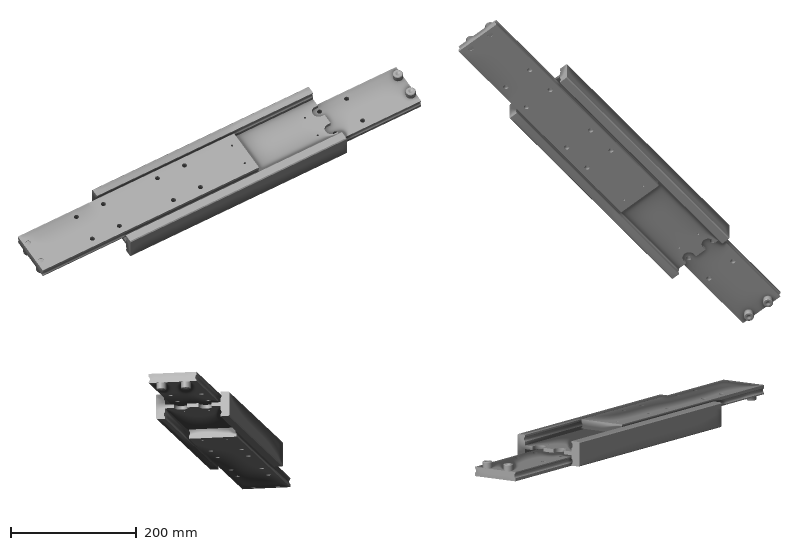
import cadquery as cq
rail_length = 400.0
slide_travel = 150.0
rail_width = 120.0
rail_height = 40.0
overall_height = 44.0
edge_chamfer = 1.5
web_thickness = 6.0
flange_thickness = 15.0

slide_width = 78.0
slide_thickness = 15.0

ball_track_height = 13.0
ball_track_radius = 5.0

mount_hole_diameter = 8.0
mount_hole_x = 25.0
mount_hole_y = [-100.0, -50.0, 50.0, 100.0]

bumper_x = 20.0
bumper_end_distance = 8.0
bumper_radius = 8.0
bumper_height = 10.0
bumper_chamfer = 1.0
socket_mouth_diameter = 8.0
socket_depth = 2.0
bumper_recess_diameter = 8.4
bumper_recess_depth = 1.0
pin_hole_diameter = 3.5
slide_pin_end_distance = 15.0
rail_pin_end_distance = 30.0

notch_radius = 10.5
notch_depth = 15.5

half_length = rail_length / 2
half_width = rail_width / 2
half_height = rail_height / 2
half_web = web_thickness / 2
flange_inner_x = half_width - flange_thickness
ball_track_x = (flange_inner_x + slide_width / 2) / 2
slide_outer_z = overall_height / 2
slide_inner_z = slide_outer_z - slide_thickness


def upper_ball_tracks():
    """Round bars along Y, one per side, centred between the rail flange and the upper slide."""
    return (
        cq.Workplane("XZ")
        .pushPoints([(-ball_track_x, ball_track_height), (ball_track_x, ball_track_height)])
        .circle(ball_track_radius)
        .extrude(half_length, both=True)
    )


def make_rail():
    """Middle rail: H-section with ball grooves, notched at both ends of the web."""
    body = (
        cq.Workplane("XZ")
        .rect(rail_width, rail_height)
        .extrude(half_length, both=True)
        .edges("|Y")
        .chamfer(edge_chamfer)
    )
    channel_depth = half_height - half_web
    for side in (1, -1):
        channel = cq.Workplane("XY").box(2 * flange_inner_x, rail_length, channel_depth)
        body = body.cut(channel.translate((0, 0, side * (half_web + channel_depth / 2))))

    tracks = upper_ball_tracks()
    body = body.cut(tracks).cut(tracks.mirror("XY"))

    for end in (1, -1):
        notch_centre_y = end * (half_length - notch_depth + notch_radius)
        for x in (-bumper_x, bumper_x):
            notch = (
                cq.Workplane("XY")
                .center(x, notch_centre_y)
                .circle(notch_radius)
                .extrude(half_web, both=True)
            )
            mouth = (
                cq.Workplane("XY")
                .center(x, notch_centre_y + end * notch_radius)
                .rect(2 * notch_radius, 2 * notch_radius)
                .extrude(half_web, both=True)
            )
            body = body.cut(notch).cut(mouth)
        pin_y = end * (half_length - rail_pin_end_distance)
        pins = (
            cq.Workplane("XY")
            .pushPoints([(-bumper_x, pin_y), (bumper_x, pin_y)])
            .circle(pin_hole_diameter / 2)
            .extrude(half_web, both=True)
        )
        body = body.cut(pins)
    return body


def make_bumper(x, y):
    """Chamfered stud hanging from the slide's inner face, with a conical socket."""
    tip_z = slide_inner_z - bumper_height
    stud = (
        cq.Workplane("XY", origin=(x, y, tip_z))
        .circle(bumper_radius)
        .extrude(bumper_height)
        .faces("<Z")
        .chamfer(bumper_chamfer)
    )
    socket = cq.Workplane(
        cq.Solid.makeCone(socket_mouth_diameter / 2, 0, socket_depth, pnt=cq.Vector(x, y, tip_z))
    )
    return stud.cut(socket)


def make_upper_slide():
    """Upper slide, run out towards -Y, with two bumpers under its outer end."""
    body = (
        cq.Workplane("XY", origin=(0, 0, slide_inner_z))
        .rect(slide_width, rail_length)
        .extrude(slide_thickness)
        .cut(upper_ball_tracks())
    )
    top = cq.Workplane("XY", origin=(0, 0, slide_outer_z))
    mount_points = [(x, y) for x in (-mount_hole_x, mount_hole_x) for y in mount_hole_y]
    body = body.cut(top.pushPoints(mount_points).circle(mount_hole_diameter / 2).extrude(-slide_thickness))

    pin_y = half_length - slide_pin_end_distance
    pins = [(-bumper_x, pin_y), (bumper_x, pin_y)]
    body = body.cut(top.pushPoints(pins).circle(pin_hole_diameter / 2).extrude(-slide_thickness))

    bumper_y = bumper_end_distance - half_length
    bumpers = [(-bumper_x, bumper_y), (bumper_x, bumper_y)]
    for x, y in bumpers:
        body = body.union(make_bumper(x, y))
    body = body.cut(
        top.pushPoints(bumpers).circle(bumper_recess_diameter / 2).extrude(-bumper_recess_depth)
    )
    return body.translate((0, -slide_travel, 0))


rail = make_rail()
upper_slide = make_upper_slide()
lower_slide = upper_slide.rotate((0, 0, 0), (1, 0, 0), 180)

result = cq.Compound.makeCompound([rail.val(), upper_slide.val(), lower_slide.val()])